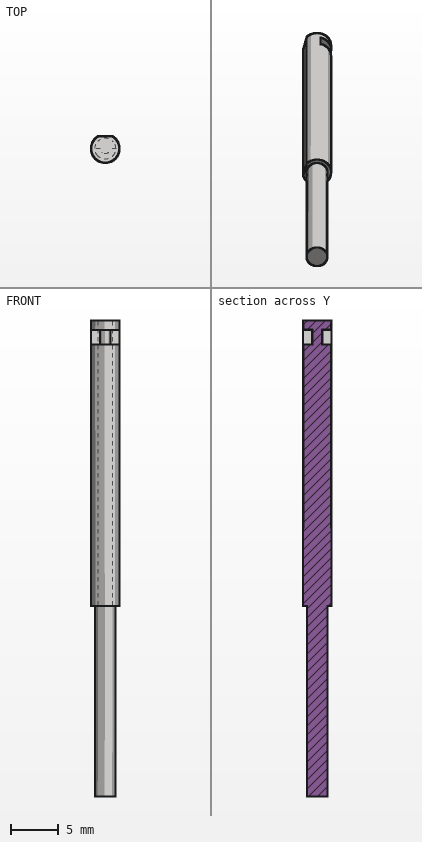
import cadquery as cq

total_length = 50.0
shank_length = 20.0
shank_diameter = 2.2
body_diameter = 3.0
flat_offset = 1.3

head_thickness = 1.0
notch_height = 1.5
neck_diameter = 1.05

body_radius = body_diameter / 2
body_length = total_length - shank_length
notch_bottom = total_length - head_thickness - notch_height


def cylinder(diameter, height, bottom):
    return cq.Workplane("XY").workplane(offset=bottom).circle(diameter / 2).extrude(height)


def make_body():
    """Round body with a flat along its full length."""
    depth = body_radius + flat_offset
    envelope = (
        cq.Workplane("XY")
        .workplane(offset=shank_length)
        .center(0, flat_offset - depth / 2)
        .rect(body_diameter, depth)
        .extrude(body_length)
    )
    return cylinder(body_diameter, body_length, shank_length).intersect(envelope)


def make_notch():
    """Block cutter that reaches the axis and leaves the neck in place."""
    half_space = (
        cq.Workplane("XY")
        .workplane(offset=notch_bottom)
        .center(0, -body_radius / 2)
        .rect(body_diameter, body_radius)
        .extrude(notch_height)
    )
    return half_space.cut(cylinder(neck_diameter, notch_height, notch_bottom))


shank = cylinder(shank_diameter, shank_length, 0)
result = make_body().cut(make_notch()).union(shank)